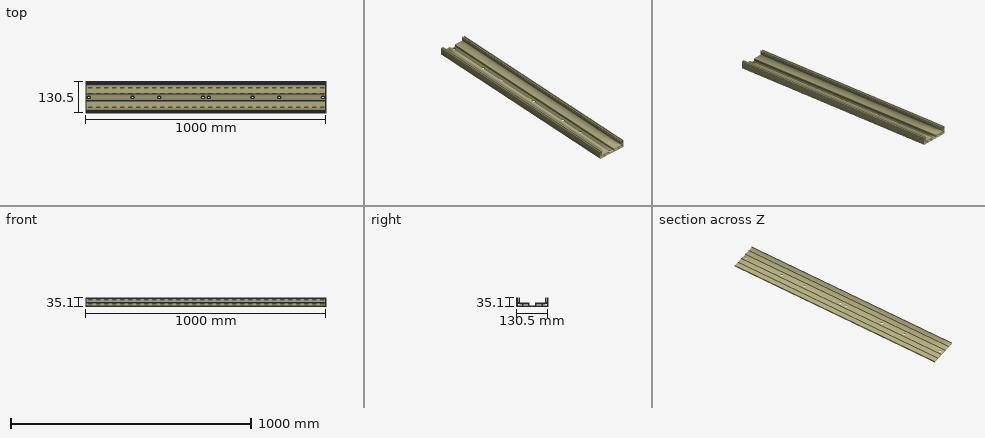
import cadquery as cq
import math

LENGTH = 1000.0
WIDTH = 130.5
HEIGHT = 35.07

WALL_THICKNESS = 2.5
CLIP_GROOVE_WIDTH = 5.9
CLIP_GROOVE_BOTTOM = 15.3
CLIP_GROOVE_SLOPE = 30.0
RIB_THICKNESS = 3.15

NOTCH_BOTTOM = 27.05
NOTCH_HEIGHT = 3.5
NOTCH_DEPTH = 0.65

BASE_THICKNESS = 3.5
DECK_TOP = 14.3
DECK_THICKNESS = 4.5
CHANNEL_WIDTH = 27.0
WEB_THICKNESS = 2.2
MIDDLE_WEB_Y = 40.4
RAISED_CEILING = 13.0
RAISED_CEILING_INNER_Y = 51.8

BOTTOM_CORNER_RADIUS = 1.9
WALL_TIP_RADIUS = 0.5
RIB_TIP_RADIUS = 0.55
RIB_FOOT_RADIUS = 2.0
DECK_EDGE_RADIUS = 1.0
CELL_CORNER_RADIUS = 0.2

GROUP_CENTRE_X = LENGTH / 4
END_SLOT_OFFSET = 238.0
INNER_SLOT_OFFSET = 55.75
SLOT_LENGTH = 13.0
SLOT_WIDTH = 8.5

HALF_WIDTH = WIDTH / 2
WALL_INNER_Y = HALF_WIDTH - WALL_THICKNESS
RIB_OUTER_Y = WALL_INNER_Y - CLIP_GROOVE_WIDTH
RIB_INNER_Y = RIB_OUTER_Y - RIB_THICKNESS
CHANNEL_EDGE_Y = CHANNEL_WIDTH / 2
MIDDLE_WEB_INNER_Y = MIDDLE_WEB_Y - WEB_THICKNESS / 2
MIDDLE_WEB_OUTER_Y = MIDDLE_WEB_Y + WEB_THICKNESS / 2
DECK_UNDERSIDE = DECK_TOP - DECK_THICKNESS


def extrude_along_x(points):
    """Extrude a closed Y-Z outline over the full length, centred on X = 0."""
    return cq.Workplane("YZ").polyline(points).close().extrude(LENGTH / 2, both=True)


def round_edge(body, y, z, radius):
    """Round the lengthwise edge that passes through (y, z)."""
    return body.edges(cq.selectors.NearestToPointSelector((0, y, z))).fillet(radius)


def half_shell():
    """The +Y half of the section without its hollow cells, still with sharp corners."""
    groove_middle_y = (WALL_INNER_Y + RIB_OUTER_Y) / 2
    v_depth = CLIP_GROOVE_WIDTH / 2 * math.tan(math.radians(CLIP_GROOVE_SLOPE))
    groove_shoulder = CLIP_GROOVE_BOTTOM + v_depth
    notch_top = NOTCH_BOTTOM + NOTCH_HEIGHT
    notch_floor_y = RIB_INNER_Y + NOTCH_DEPTH
    return extrude_along_x(
        [
            (0, 0),
            (HALF_WIDTH, 0),
            (HALF_WIDTH, HEIGHT),
            (WALL_INNER_Y, HEIGHT),
            (WALL_INNER_Y, groove_shoulder),
            (groove_middle_y, CLIP_GROOVE_BOTTOM),
            (RIB_OUTER_Y, groove_shoulder),
            (RIB_OUTER_Y, HEIGHT),
            (RIB_INNER_Y, HEIGHT),
            (RIB_INNER_Y, notch_top),
            (notch_floor_y, notch_top),
            (notch_floor_y, NOTCH_BOTTOM),
            (RIB_INNER_Y, NOTCH_BOTTOM),
            (RIB_INNER_Y, DECK_TOP),
            (CHANNEL_EDGE_Y, DECK_TOP),
            (CHANNEL_EDGE_Y, BASE_THICKNESS),
            (0, BASE_THICKNESS),
        ]
    )


def outer_cell():
    """Hollow cell beside the outer wall; its ceiling steps up under the clip groove."""
    cell = extrude_along_x(
        [
            (MIDDLE_WEB_OUTER_Y, BASE_THICKNESS),
            (WALL_INNER_Y, BASE_THICKNESS),
            (WALL_INNER_Y, RAISED_CEILING),
            (RAISED_CEILING_INNER_Y, RAISED_CEILING),
            (RAISED_CEILING_INNER_Y, DECK_UNDERSIDE),
            (MIDDLE_WEB_OUTER_Y, DECK_UNDERSIDE),
        ]
    )
    return cell.edges("|X").fillet(CELL_CORNER_RADIUS)


def inner_cell():
    """Hollow cell between the middle web and the web along the central channel."""
    channel_web_y = CHANNEL_EDGE_Y + WEB_THICKNESS
    cell = extrude_along_x(
        [
            (channel_web_y, BASE_THICKNESS),
            (MIDDLE_WEB_INNER_Y, BASE_THICKNESS),
            (MIDDLE_WEB_INNER_Y, DECK_UNDERSIDE),
            (channel_web_y, DECK_UNDERSIDE),
        ]
    )
    return cell.edges("|X").fillet(CELL_CORNER_RADIUS)


def half_profile():
    """The finished +Y half: rounded shell with both cells hollowed out."""
    body = half_shell()
    rounded_edges = [
        (HALF_WIDTH, 0, BOTTOM_CORNER_RADIUS),
        (HALF_WIDTH, HEIGHT, WALL_TIP_RADIUS),
        (WALL_INNER_Y, HEIGHT, WALL_TIP_RADIUS),
        (RIB_OUTER_Y, HEIGHT, RIB_TIP_RADIUS),
        (RIB_INNER_Y, HEIGHT, RIB_TIP_RADIUS),
        (RIB_INNER_Y, DECK_TOP, RIB_FOOT_RADIUS),
        (CHANNEL_EDGE_Y, DECK_TOP, DECK_EDGE_RADIUS),
    ]
    for y, z, radius in rounded_edges:
        body = round_edge(body, y, z, radius)
    return body.cut(outer_cell()).cut(inner_cell())


def fixing_slots():
    """Cutters for the slots through the base plate, lengthwise along X."""
    offsets = (-END_SLOT_OFFSET, -INNER_SLOT_OFFSET, INNER_SLOT_OFFSET, END_SLOT_OFFSET)
    centres = [(side * GROUP_CENTRE_X + offset, 0) for side in (-1, 1) for offset in offsets]
    return (
        cq.Workplane("XY")
        .pushPoints(centres)
        .slot2D(SLOT_LENGTH, SLOT_WIDTH)
        .extrude(BASE_THICKNESS)
    )


half = half_profile()
result = half.union(half.mirror("XZ")).clean().cut(fixing_slots())